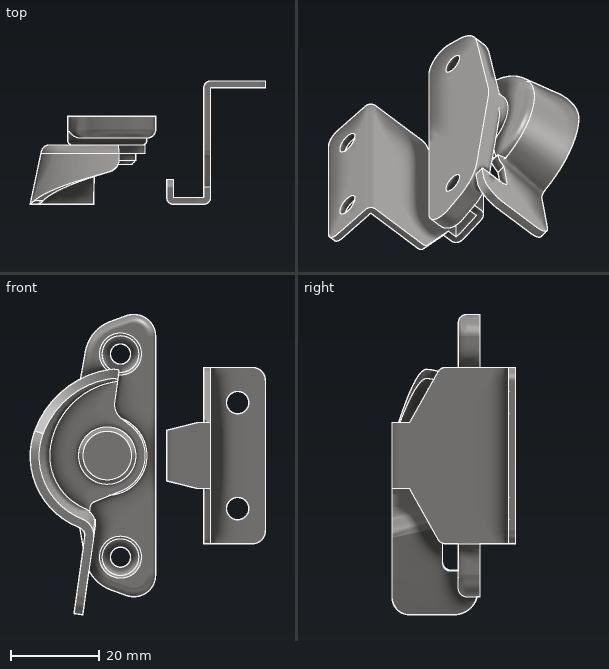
import cadquery as cq
import math


BASE_THICKNESS = 5.0
BASE_HALF_HEIGHT = 32.0
BASE_RIGHT = 11.0
BASE_CORNER_R = 5.0
BASE_SHOULDER_R = 9.0
BASE_EDGE_FILLET = 2.0
BASE_TOP_SLOPE = math.radians(20)
BASE_FLANK_TILT = math.radians(10)
BOSS_R = 9.0
BOSS_HEIGHT = 6.5
BOSS_FILLET = 1.0
SCREW_X = 3.0
SCREW_Z = 23.0
SCREW_HOLE_D = 4.5
COUNTERSINK_D = 8.3
COUNTERSINK_RIM_D = 9.5

LEVER_TILT = 8.0
LEVER_BACK = BOSS_HEIGHT
FLOOR_THICKNESS = 2.0
FLOOR_FRONT = LEVER_BACK + FLOOR_THICKNESS
LEVER_FRONT = 20.0
WALL_DRAFT = math.radians(12)
WALL_THICKNESS = 2.05
RIM_R = 17.5
UPPER_CENTRE_X = 4.6
LEVER_BACK_FILLET = 1.95
HUB_R = 8.6
HUB_UPPER_FILLET = 4.0
HUB_LOWER_FILLET = 1.5
HUB_EDGE_ANGLE = math.radians(30)
FLOOR_LOWER_X = -2.2
HANDLE_OUTER_X = -2.5
HANDLE_BOTTOM = -36.5
BEND_R = 2.0
HOOK_BACK = 0.5
HOOK_TOP = -26.5
NOTCH_FILLET = 1.8
HOOK_TIP_FILLET = 0.5
HOOK_BOTTOM_FILLET = 5.5
HANDLE_FRONT_FILLET = 4.0
RIM_FLAT_TOP = -3.2
RIM_BLEND_TOP = 3.3
RIM_BLEND_DEPTH = 19.1
RIM_PITCH = 32.0
RIM_TIP_FILLET = 3.0
BEND_BACK_TOP = -14.7
BEND_BACK_BOTTOM = -17.2

CAP_R = 6.5
CAP_HEIGHT = 2.5
CAP_CHAMFER = 1.0

SHEET = 1.6
STRIKE_BACK = -8.0
STRIKE_FRONT = LEVER_FRONT
STRIKE_RIGHT = 35.84
FLANGE_LENGTH = 14.0
FLANGE_HALF_HEIGHT = 20.0
FLANGE_CORNER_R = 3.0
FLANGE_HOLE_D = 5.0
FLANGE_HOLE_EDGE = 6.3
FLANGE_HOLE_Z = 12.0
WEB_LEFT = STRIKE_RIGHT - FLANGE_LENGTH
WEB_RIGHT = WEB_LEFT + SHEET
WEB_TAPER_START = 9.0
WEB_TAPER_END = 16.0
WEB_TAPER_FILLET = 2.0
HOOK_WIDTH = 10.0
HOOK_LEFT = WEB_RIGHT - HOOK_WIDTH
HOOK_HALF_HEIGHT = 7.5
HOOK_STRAIGHT = 3.0
HOOK_TAPER = math.radians(14)
LIP_LENGTH = 5.7
LIP_CORNER_R = 2.0


def front_plane(depth):
    """Work plane at a given depth, facing -Y, with local axes X and Z."""
    return cq.Workplane("XZ", origin=(0, -depth, 0))


def make_base():
    sin_t, cos_t = math.sin(BASE_TOP_SLOPE), math.cos(BASE_TOP_SLOPE)
    sin_f, cos_f = math.sin(BASE_FLANK_TILT), math.cos(BASE_FLANK_TILT)
    corner_x = BASE_RIGHT - BASE_CORNER_R
    corner_z = BASE_HALF_HEIGHT - BASE_CORNER_R
    top_offset = cos_t * corner_z - sin_t * corner_x + BASE_CORNER_R
    right_z = (top_offset + sin_t * BASE_RIGHT) / cos_t
    crossing = cos_t * cos_f - sin_t * sin_f
    shoulder_x = (top_offset * sin_f - BOSS_R * cos_t) / crossing
    shoulder_z = (top_offset * cos_f - BOSS_R * sin_t) / crossing
    waist = (-BOSS_R * cos_f, BOSS_R * sin_f)

    plate = (
        front_plane(0)
        .polyline([
            (BASE_RIGHT, right_z),
            (shoulder_x, shoulder_z),
            waist,
            (waist[0], -waist[1]),
            (shoulder_x, -shoulder_z),
            (BASE_RIGHT, -right_z),
        ])
        .close()
        .extrude(BASE_THICKNESS)
    )
    plate = plate.edges("|Y and >X").fillet(BASE_CORNER_R)
    for side in (1, -1):
        shoulder = cq.selectors.NearestToPointSelector((shoulder_x, -BASE_THICKNESS / 2, side * shoulder_z))
        plate = plate.edges("|Y").edges(shoulder).fillet(BASE_SHOULDER_R)
    plate = plate.faces("<Y").edges().fillet(BASE_EDGE_FILLET)

    boss = front_plane(0).circle(BOSS_R).extrude(BOSS_HEIGHT)
    boss = boss.faces("<Y").edges().fillet(BOSS_FILLET)
    base = plate.union(boss)

    for side in (1, -1):
        base = base.cut(screw_cutter(SCREW_X, side * SCREW_Z))
    return base


def screw_cutter(x, z):
    """Rim bevel and a countersink cone that narrows to the screw hole at the back face."""
    hole_r, sink_r, rim_r = SCREW_HOLE_D / 2, COUNTERSINK_D / 2, COUNTERSINK_RIM_D / 2
    bevel_depth = rim_r - sink_r
    inward = cq.Vector(0, 1, 0)
    front = cq.Vector(x, -BASE_THICKNESS, z)
    bevel = cq.Solid.makeCone(rim_r, sink_r, bevel_depth, front, inward)
    sink_depth = BASE_THICKNESS - bevel_depth
    sink = cq.Solid.makeCone(sink_r, hole_r, sink_depth, front + inward * bevel_depth, inward)
    return cq.Workplane(bevel.fuse(sink))


def wall_radius(depth):
    """Outer radius of the drafted lower wall at a given depth."""
    return RIM_R - (LEVER_FRONT - depth) * math.tan(WALL_DRAFT)


def upper_arc_point(radius, angle):
    """Point on the upper arc that continues a lower arc of the given radius."""
    upper_r = radius + UPPER_CENTRE_X
    return UPPER_CENTRE_X - upper_r * math.cos(angle), upper_r * math.sin(angle)


def upper_arc_end_angle(radius):
    """Angle at which the upper arc reaches X = 0."""
    return math.acos(UPPER_CENTRE_X / (radius + UPPER_CENTRE_X))


def make_dish():
    """Filled dish floor: two drafted rounds with filleted backs that meet tangentially at Z = 0."""
    back_radius = wall_radius(LEVER_BACK)
    front_radius = wall_radius(FLOOR_FRONT)
    height = 2 * RIM_R

    def round_half(centre_x, side):
        cone = cq.Solid.makeCone(
            front_radius + centre_x,
            back_radius + centre_x,
            FLOOR_THICKNESS,
            cq.Vector(centre_x, -FLOOR_FRONT, 0),
            cq.Vector(0, 1, 0),
        )
        cone = cq.Workplane(cone).faces(">Y").edges().fillet(LEVER_BACK_FILLET)
        half_space = cq.Workplane("XY").box(4 * height, 4 * height, height).translate((0, 0, side * height / 2))
        return cone.intersect(half_space)

    return round_half(UPPER_CENTRE_X, 1).union(round_half(0, -1))


def wall_outline(depth):
    """Strip that follows the upper and lower walls, bends and runs down the handle."""
    outer = wall_radius(depth)
    inner = outer - WALL_THICKNESS
    outer_end = upper_arc_end_angle(outer)
    inner_end = upper_arc_end_angle(inner)

    bend_x = HANDLE_OUTER_X - BEND_R
    bend_z = -math.sqrt((outer + BEND_R) ** 2 - bend_x ** 2)
    start_angle = math.atan2(-bend_z, -bend_x)
    bend_inner_r = BEND_R + WALL_THICKNESS
    inner_x = bend_x + bend_inner_r

    def lower_point(radius, angle):
        return radius * math.cos(angle), radius * math.sin(angle)

    def bend_point(radius, angle):
        return bend_x + radius * math.cos(angle), bend_z + radius * math.sin(angle)

    contact = start_angle + math.pi
    lower_middle = (math.pi + contact) / 2
    outline = (
        front_plane(depth)
        .moveTo(*upper_arc_point(outer, outer_end))
        .threePointArc(upper_arc_point(outer, outer_end / 2), (-outer, 0))
        .threePointArc(lower_point(outer, lower_middle), lower_point(outer, contact))
        .threePointArc(bend_point(BEND_R, start_angle / 2), bend_point(BEND_R, 0))
        .lineTo(HANDLE_OUTER_X, HANDLE_BOTTOM)
        .lineTo(inner_x, HANDLE_BOTTOM)
        .lineTo(*bend_point(bend_inner_r, 0))
        .threePointArc(bend_point(bend_inner_r, start_angle / 2), bend_point(bend_inner_r, start_angle))
        .threePointArc(lower_point(inner, lower_middle), (-inner, 0))
        .threePointArc(upper_arc_point(inner, inner_end / 2), upper_arc_point(inner, inner_end))
        .close()
    )
    return outline.val()


def make_floor():
    """Floor of the dish with the round hub."""
    sin_h, cos_h = math.sin(HUB_EDGE_ANGLE), math.cos(HUB_EDGE_ANGLE)
    upper_corner_z = HUB_R / cos_h
    lower_corner_z = -HUB_R / cos_h + FLOOR_LOWER_X * math.tan(HUB_EDGE_ANGLE)
    reach = 2 * RIM_R

    plan = (
        front_plane(LEVER_BACK)
        .moveTo(0, reach)
        .lineTo(0, upper_corner_z)
        .lineTo(HUB_R * sin_h, HUB_R * cos_h)
        .threePointArc((HUB_R, 0), (HUB_R * sin_h, -HUB_R * cos_h))
        .lineTo(FLOOR_LOWER_X, lower_corner_z)
        .lineTo(FLOOR_LOWER_X, -reach)
        .lineTo(-reach, -reach)
        .lineTo(-reach, reach)
        .close()
        .extrude(FLOOR_THICKNESS)
    )
    corners = (
        (0, upper_corner_z, HUB_UPPER_FILLET),
        (FLOOR_LOWER_X, lower_corner_z, HUB_LOWER_FILLET),
    )
    for x, z, radius in corners:
        corner = cq.selectors.NearestToPointSelector((x, -LEVER_BACK - FLOOR_THICKNESS / 2, z))
        plan = plan.edges("|Y").edges(corner).fillet(radius)
    return make_dish().intersect(plan)


def make_side_trim():
    """Prism along X with the side outline of wall and handle: flat rim with its blend, hook below."""
    reach = 2 * RIM_R

    def at(z, depth):
        return -depth, z

    blend_rise = RIM_BLEND_TOP - RIM_FLAT_TOP
    blend_drop = LEVER_FRONT - RIM_BLEND_DEPTH
    blend_r = (blend_rise ** 2 + blend_drop ** 2) / (2 * blend_drop)
    half_turn = math.asin(blend_rise / blend_r) / 2
    blend_middle = at(
        RIM_FLAT_TOP + blend_r * math.sin(half_turn),
        LEVER_FRONT - blend_r * (1 - math.cos(half_turn)),
    )
    trim = (
        cq.Workplane("YZ", origin=(-reach, 0, 0))
        .moveTo(*at(reach, FLOOR_FRONT))
        .lineTo(*at(reach, RIM_BLEND_DEPTH))
        .lineTo(*at(RIM_BLEND_TOP, RIM_BLEND_DEPTH))
        .threePointArc(blend_middle, at(RIM_FLAT_TOP, LEVER_FRONT))
        .lineTo(*at(HANDLE_BOTTOM, LEVER_FRONT))
        .lineTo(*at(HANDLE_BOTTOM, HOOK_BACK))
        .lineTo(*at(HOOK_TOP, HOOK_BACK))
        .lineTo(*at(HOOK_TOP, FLOOR_FRONT))
        .lineTo(*at(BEND_BACK_BOTTOM, FLOOR_FRONT))
        .lineTo(*at(BEND_BACK_TOP, LEVER_BACK))
        .lineTo(*at(BEND_BACK_TOP, FLOOR_FRONT))
        .close()
        .extrude(2 * reach)
    )
    rounds = (
        (HOOK_TOP, FLOOR_FRONT, NOTCH_FILLET),
        (HOOK_TOP, HOOK_BACK, HOOK_TIP_FILLET),
        (HANDLE_BOTTOM, HOOK_BACK, HOOK_BOTTOM_FILLET),
        (HANDLE_BOTTOM, LEVER_FRONT, HANDLE_FRONT_FILLET),
    )
    for z, depth, radius in rounds:
        corner = cq.selectors.NearestToPointSelector((0, -depth, z))
        trim = trim.edges("|X").edges(corner).fillet(radius)
    return trim


def make_rim_cutter():
    """Helical sweep of a radial rectangle that leaves the ramped rim behind it."""
    start_angle = math.degrees(math.asin(RIM_BLEND_TOP / RIM_R))
    end_angle = 100
    turn = end_angle - start_angle
    inner_reach = RIM_R / 2
    outer_reach = 1.5 * RIM_R
    path = cq.Wire.makeHelix(RIM_PITCH, RIM_PITCH * turn / 360, RIM_R)
    cutter = (
        cq.Workplane("XZ")
        .moveTo(inner_reach, 0)
        .lineTo(outer_reach, 0)
        .lineTo(outer_reach, -LEVER_FRONT)
        .lineTo(inner_reach, -LEVER_FRONT)
        .close()
        .sweep(cq.Workplane(path), isFrenet=True)
    )
    cutter = cutter.rotate((0, 0, 0), (1, 0, 0), -90)
    cutter = cutter.rotate((0, 0, 0), (0, 1, 0), 180 + start_angle)
    return cutter.translate((0, -RIM_BLEND_DEPTH, 0))


def make_lever():
    strip = cq.Workplane(cq.Solid.makeLoft([wall_outline(0), wall_outline(LEVER_FRONT)], True))
    wall = strip.intersect(make_side_trim()).cut(make_rim_cutter())
    wall = wall.faces(">X").edges("<Y").fillet(RIM_TIP_FILLET)
    lever = make_floor().union(wall)
    return lever.rotate((0, 0, 0), (0, 1, 0), LEVER_TILT)


def make_cap():
    return front_plane(FLOOR_FRONT).circle(CAP_R).extrude(CAP_HEIGHT).faces("<Y").edges().chamfer(CAP_CHAMFER)


def make_strike():
    """Sheet-metal strike: mounting flange, tapered web and a narrow hook with a lip."""
    lip_end = STRIKE_FRONT - LIP_LENGTH
    section = (
        cq.Workplane("XY", origin=(0, 0, -FLANGE_HALF_HEIGHT))
        .polyline([
            (STRIKE_RIGHT, -STRIKE_BACK),
            (WEB_LEFT, -STRIKE_BACK),
            (WEB_LEFT, SHEET - STRIKE_FRONT),
            (HOOK_LEFT + SHEET, SHEET - STRIKE_FRONT),
            (HOOK_LEFT + SHEET, -lip_end),
            (HOOK_LEFT, -lip_end),
            (HOOK_LEFT, -STRIKE_FRONT),
            (WEB_RIGHT, -STRIKE_FRONT),
            (WEB_RIGHT, -STRIKE_BACK - SHEET),
            (STRIKE_RIGHT, -STRIKE_BACK - SHEET),
        ])
        .close()
        .extrude(2 * FLANGE_HALF_HEIGHT)
    )
    bends = ((WEB_LEFT, STRIKE_BACK), (HOOK_LEFT, STRIKE_FRONT), (WEB_RIGHT, STRIKE_FRONT))
    for x, depth in bends:
        section = section.edges("|Z").edges(cq.selectors.NearestToPointSelector((x, -depth, 0))).fillet(SHEET)

    side = (
        cq.Workplane("YZ", origin=(HOOK_LEFT, 0, 0))
        .polyline([
            (-STRIKE_BACK, FLANGE_HALF_HEIGHT),
            (-WEB_TAPER_START, FLANGE_HALF_HEIGHT),
            (-WEB_TAPER_END, HOOK_HALF_HEIGHT),
            (-STRIKE_FRONT, HOOK_HALF_HEIGHT),
            (-STRIKE_FRONT, -HOOK_HALF_HEIGHT),
            (-WEB_TAPER_END, -HOOK_HALF_HEIGHT),
            (-WEB_TAPER_START, -FLANGE_HALF_HEIGHT),
            (-STRIKE_BACK, -FLANGE_HALF_HEIGHT),
        ])
        .close()
        .extrude(STRIKE_RIGHT - HOOK_LEFT)
    )
    for z in (FLANGE_HALF_HEIGHT, -FLANGE_HALF_HEIGHT):
        corner = cq.selectors.NearestToPointSelector((WEB_LEFT, -WEB_TAPER_START, z))
        side = side.edges("|X").edges(corner).fillet(WEB_TAPER_FILLET)

    taper_x = WEB_RIGHT - HOOK_STRAIGHT
    tip_half_height = HOOK_HALF_HEIGHT - (taper_x - HOOK_LEFT) * math.tan(HOOK_TAPER)
    front = (
        front_plane(STRIKE_BACK)
        .polyline([
            (HOOK_LEFT, tip_half_height),
            (taper_x, HOOK_HALF_HEIGHT),
            (taper_x, FLANGE_HALF_HEIGHT),
            (STRIKE_RIGHT, FLANGE_HALF_HEIGHT),
            (STRIKE_RIGHT, -FLANGE_HALF_HEIGHT),
            (taper_x, -FLANGE_HALF_HEIGHT),
            (taper_x, -HOOK_HALF_HEIGHT),
            (HOOK_LEFT, -tip_half_height),
        ])
        .close()
        .extrude(STRIKE_FRONT - STRIKE_BACK)
        .edges("|Y and >X")
        .fillet(FLANGE_CORNER_R)
    )
    strike = section.intersect(side).intersect(front)

    for z in (tip_half_height, -tip_half_height):
        corner = cq.selectors.NearestToPointSelector((HOOK_LEFT + SHEET / 2, -lip_end, z))
        strike = strike.edges(corner).fillet(LIP_CORNER_R)

    holes = (
        front_plane(STRIKE_BACK)
        .pushPoints([(STRIKE_RIGHT - FLANGE_HOLE_EDGE, side_z) for side_z in (FLANGE_HOLE_Z, -FLANGE_HOLE_Z)])
        .circle(FLANGE_HOLE_D / 2)
        .extrude(SHEET)
    )
    return strike.cut(holes)


base = make_base()
lever = make_lever()
cap = make_cap()
strike = make_strike()

result = cq.Compound.makeCompound([base.val(), lever.val(), cap.val(), strike.val()])